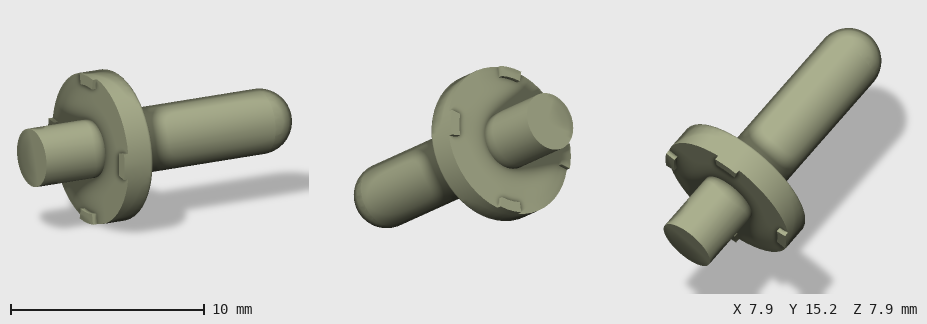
import cadquery as cq
import math

pin_radius = 3.4 / 2
pin_length = 10.25
tail_radius = 3.05 / 2
tail_length = 3.5
flange_radius = 7.9 / 2
flange_thickness = 1.5
flange_rim_radius = 0.2

pad_count = 4
pad_angle = 20.0
pad_inner_radius = 3.4
pad_height = 0.25
cutter_radius = 2 * flange_radius


def polar_point(radius, angle):
    """Point at a radius and an angle in degrees."""
    return (radius * math.cos(math.radians(angle)), radius * math.sin(math.radians(angle)))


def cylinder_along_y(radius, start_y, end_y):
    """Solid cylinder on the Y axis between two Y positions."""
    return cq.Workplane("XZ", origin=(0, start_y, 0)).circle(radius).extrude(start_y - end_y)


def make_pin():
    """Round pin on the +Y side, ending in a half-sphere."""
    dome_center_y = flange_thickness + pin_length - pin_radius
    shaft = cylinder_along_y(pin_radius, 0, dome_center_y)
    dome = cq.Workplane("XY").sphere(pin_radius).translate((0, dome_center_y, 0))
    return shaft.union(dome)


def make_flange_blank():
    """Flange with its rounded rim, thickened on the -Y side by the pad height."""
    blank = cylinder_along_y(flange_radius, -pad_height, flange_thickness)
    return blank.faces(">Y").edges().fillet(flange_rim_radius)


def make_pad_sector(center_angle):
    """Sector reaching past the flange edge, as wide as one pad."""
    start = center_angle - pad_angle / 2
    end = center_angle + pad_angle / 2
    return (
        cq.Workplane("XZ")
        .polyline([(0, 0), polar_point(cutter_radius, start), polar_point(cutter_radius, end)])
        .close()
        .extrude(pad_height)
    )


def make_pad_clearance():
    """Material to remove from the -Y face so that only the pads stand."""
    clearance = cylinder_along_y(cutter_radius, 0, -pad_height)
    for index in range(pad_count):
        clearance = clearance.cut(make_pad_sector(index * 360 / pad_count))
    return clearance.union(cylinder_along_y(pad_inner_radius, 0, -pad_height))


flange = make_flange_blank().cut(make_pad_clearance())
tail = cylinder_along_y(tail_radius, 0, -tail_length)
result = flange.union(make_pin()).union(tail)